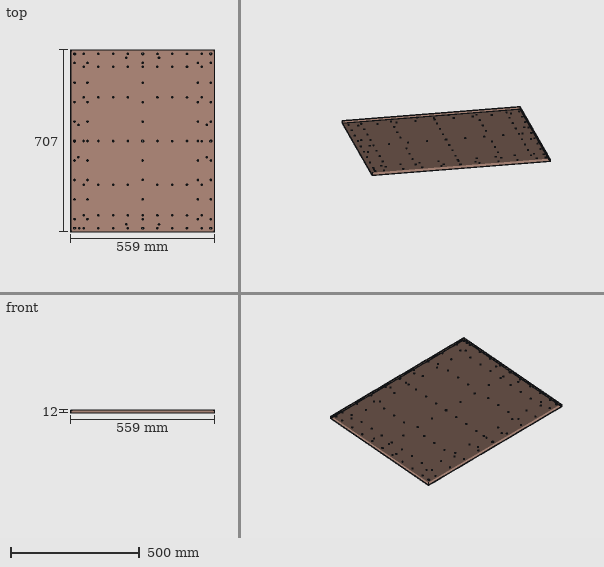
import cadquery as cq

WIDTH = 559.0
LENGTH = 707.0
HEIGHT = 12.0
SHEET_THICKNESS = 1.5
OUTER_BEND_RADIUS = 4.0

SMALL_HOLE = 4.5
LARGE_HOLE = 7.5
SLOT_LENGTH = 8.0
SLOT_WIDTH = 5.0

SIDE_COLUMN_X = 264.5
INNER_COLUMN_X = 214.3
COLUMN_PITCH = 75.5
COLUMN_STEPS = 3
COLUMN_END_Y = 303.2

ROW_PITCH = 57.3
ROW_STEPS = 4
INNER_ROW_Y = 169.6
OUTER_ROW_Y = 288.3
END_ROW_Y = 338.3

END_PAIR_X = 63.3
END_PAIR_Y = 323.3
SIDE_PAIR_X = 249.3
SIDE_PAIR_Y = 62.7

CORNER_HOLE_X = -246.5


def rounded_block(offset):
    """Block with rounded upper edges, lying the offset inside the outer faces."""
    block = cq.Workplane("XY").box(
        WIDTH - 2 * offset,
        LENGTH - 2 * offset,
        HEIGHT - offset,
        centered=(True, True, False),
    )
    return block.faces(">Z").edges().fillet(OUTER_BEND_RADIUS - offset)


def tray():
    """Panel and rim, open underneath."""
    return rounded_block(0).cut(rounded_block(SHEET_THICKNESS))


def mirrored(x, y):
    """The distinct mirror images of a point about the two centre lines."""
    return {(x, y), (-x, y), (x, -y), (-x, -y)}


def column_centres():
    """Columns along the length; the outermost and middle ones have no small hole at mid-length."""
    centres = mirrored(INNER_COLUMN_X, 0)
    column_ys = [step * COLUMN_PITCH for step in range(1, COLUMN_STEPS + 1)]
    column_ys.append(COLUMN_END_Y)
    for y in column_ys:
        for x in (0, INNER_COLUMN_X, SIDE_COLUMN_X):
            centres |= mirrored(x, y)
    return centres


def row_centres():
    """Rows across the width; only the outer rows have a small hole on the centre line."""
    centres = mirrored(0, OUTER_ROW_Y)
    for step in range(1, ROW_STEPS + 1):
        for y in (0, INNER_ROW_Y, OUTER_ROW_Y, END_ROW_Y):
            centres |= mirrored(step * ROW_PITCH, y)
    return centres


def edge_pair_centres():
    return mirrored(END_PAIR_X, END_PAIR_Y) | mirrored(SIDE_PAIR_X, SIDE_PAIR_Y)


def drills(centres, diameter):
    """Cylinders that cut round holes through the panel."""
    return cq.Workplane("XY").pushPoints(sorted(centres)).circle(diameter / 2).extrude(HEIGHT)


def slot_cutters():
    """Cutters for the slots at the corners and in the middle of the two ends."""
    centres = mirrored(SIDE_COLUMN_X, END_ROW_Y) | mirrored(0, END_ROW_Y)
    slots = cq.Workplane("XY").pushPoints(sorted(centres)).slot2D(SLOT_LENGTH, SLOT_WIDTH)
    return slots.extrude(HEIGHT)


corner_hole_centre = {(CORNER_HOLE_X, -END_ROW_Y)}
small_hole_centres = column_centres() | row_centres() | edge_pair_centres() | corner_hole_centre
large_hole_centres = mirrored(SIDE_COLUMN_X, 0) | mirrored(0, 0)

result = (
    tray()
    .cut(drills(small_hole_centres, SMALL_HOLE))
    .cut(drills(large_hole_centres, LARGE_HOLE))
    .cut(slot_cutters())
)